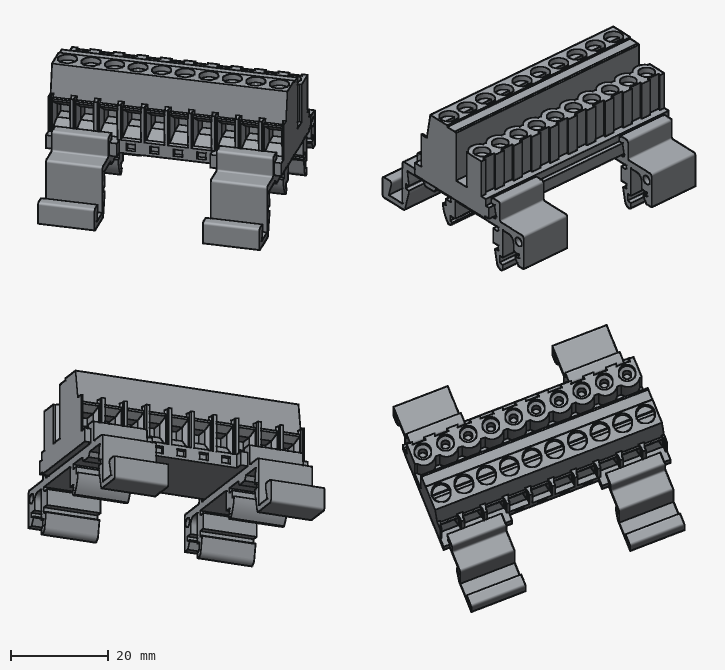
import cadquery as cq
POLES = 10
PITCH = 5.0
LENGTH = POLES * PITCH
DEPTH = 43.7
HEIGHT = 28.8

CLIP_WIDTH = 12.0
CLIP_CENTRES = (1.5 * PITCH, LENGTH - 1.5 * PITCH)
CLIP_RADIUS = 0.55
TAB_RADIUS = 0.4
BASE_TOP = 11.75
BASE_BOTTOM = 10.05
PIN_HOLE_DIAMETER = 2.0
PIN_HOLE_Y = 42.15
PIN_HOLE_Z = 9.6

FOOT_FRONT = 11.75
FOOT_TOP = 14.7
FOOT_LENGTH = 15.1
BODY_FRONT = 13.65
DECK_Z = 16.6
POST_TOP = 25.15
POST_FRONT = 27.75
POST_BACK = 32.35
SHOULDER_Y = 15.4
SHOULDER_Z = 22.6
TOWER_FRONT = 16.5

SOCKET_Y = 29.7
SOCKET_DIAMETER = 3.5
SOCKET_DEPTH = 1.4
SOCKET_CONE_DEPTH = 0.4
SOCKET_PIN_DIAMETER = 1.8
SOCKET_PIN_DEPTH = 5.0
POST_BULGE_REACH = 1.05
POST_BULGE_WIDTH = 4.1

GROOVE_OPENING = 2.6
GROOVE_FLOOR = 3.0
GROOVE_DEPTH = 0.6

SCREW_Y = 19.45
SCREW_BORE_DIAMETER = 4.0
SCREW_RECESS = 1.2
SCREW_HEAD_DIAMETER = 3.8
SLOT_WIDTH = 0.8
SLOT_DEPTH = 0.9

DIVIDER_TIP = 0.7
DIVIDER_ROOT = 1.3
DIVIDER_FLARE_Y = 14.5
LINTEL_Y = 14.85
ENTRY_TOP = 21.8
LEDGE_DROP = 0.2
FUNNEL_WIDTH = 4.0
FUNNEL_TOP = 21.15
FUNNEL_BACK = 16.35
OPENING_WIDTH = 2.7
OPENING_BOTTOM = 16.85
OPENING_TOP = 19.85
OPENING_DEPTH = 3.0

FOOT_GROOVE_WIDTH = 0.15
FOOT_GROOVE_DEPTH = 1.05

WINDOW_POLES = range(3, 7)
WINDOW_WIDTH = 1.9
WINDOW_BOTTOM = 12.45
WINDOW_HEIGHT = 1.5
WINDOW_DEPTH = 1.0


def box(x, y, z):
    """Box spanning the three (low, high) pairs."""
    size = [high - low for low, high in (x, y, z)]
    return cq.Workplane("XY").box(*size, centered=False).translate((x[0], y[0], z[0]))


def along_x(outline, start, length):
    """Extrude a closed YZ outline along +X."""
    return outline.close().extrude(length).translate((start, 0, 0))


def pole_centres(poles=range(POLES)):
    return [(pole + 0.5) * PITCH for pole in poles]


def clip(centre):
    """Rail clip: a bent strip with two holding tabs, four rail hooks and a front lever."""
    outline = (
        cq.Workplane("YZ")
        .moveTo(0, 0)
        .lineTo(0, 5)
        .lineTo(2.75, 5)
        .lineTo(2.75, 4.3)
        .lineTo(1.95, 1.35)
        .lineTo(6.2, 1.35)
        .lineTo(6.2, BASE_TOP)
        .lineTo(10.8, BASE_TOP)
        .lineTo(10.8, 16.2)
        .lineTo(BODY_FRONT, 16.2)
        .lineTo(BODY_FRONT, FOOT_TOP)
        .lineTo(FOOT_FRONT, FOOT_TOP)
        .lineTo(FOOT_FRONT, BASE_TOP)
        .lineTo(34.95, BASE_TOP)
        .lineTo(35.2, 12.3)
        .lineTo(34.7, 14.95)
        .lineTo(33.7, 14.95)
        .lineTo(33.7, 16.45)
        .lineTo(36.4, 16.45)
        .lineTo(36.4, BASE_TOP)
        .lineTo(DEPTH, BASE_TOP)
        .lineTo(DEPTH, 3.65)
        .lineTo(42.1, 3.65)
        .lineTo(41.15, 5.15)
        .lineTo(41.15, 5.45)
        .lineTo(42.25, 5.6)
        .lineTo(42.25, 6.55)
        .lineTo(40.6, 6.55)
        .lineTo(40.6, 8.55)
        .radiusArc((39.1, BASE_BOTTOM), -1.5)
        .lineTo(37.2, BASE_BOTTOM)
        .lineTo(37.2, 3.3)
        .lineTo(36.35, 3.3)
        .lineTo(36.35, 1.75)
        .lineTo(37.2, 1.5)
        .lineTo(37.2, 0.2)
        .lineTo(36.9, 0)
        .threePointArc((35.9, 0.35), (35.45, 1.1))
        .lineTo(34.8, 4.2)
        .lineTo(35.0, 4.4)
        .lineTo(35.85, 4.4)
        .lineTo(35.85, 5.6)
        .lineTo(34.25, 5.6)
        .lineTo(34.25, 9.05)
        .lineTo(35.6, 9.05)
        .lineTo(35.85, 9.3)
        .lineTo(35.85, BASE_BOTTOM)
        .lineTo(22.75, BASE_BOTTOM)
        .lineTo(22.55, 9.85)
        .lineTo(22.55, 5.6)
        .lineTo(21.0, 5.6)
        .lineTo(21.0, 4.45)
        .lineTo(21.6, 4.2)
        .lineTo(21.05, 3.3)
        .lineTo(20.4, 3.3)
        .threePointArc((19.2, 5.25), (18.65, 7.5))
        .lineTo(19.6, 7.5)
        .lineTo(19.6, 9.05)
        .lineTo(21.15, 9.05)
        .lineTo(21.15, BASE_BOTTOM)
        .lineTo(16.65, BASE_BOTTOM)
        .lineTo(16.0, 9.05)
        .lineTo(13.3, 9.05)
        .lineTo(12.65, BASE_BOTTOM)
        .lineTo(7.7, BASE_BOTTOM)
        .lineTo(8.1, 7.5)
        .lineTo(8.1, 6.55)
        .lineTo(7.15, 6.55)
        .lineTo(7.15, 5.6)
        .lineTo(8.1, 5.4)
        .lineTo(8.1, 4.65)
        .lineTo(6.95, 0.25)
        .lineTo(6.7, 0)
    )
    start = centre - CLIP_WIDTH / 2
    body = along_x(outline, start, CLIP_WIDTH)
    outer_corners = ((0, 0), (0, 5), (2.75, 5), (6.2, BASE_TOP), (10.8, 16.2),
                     (33.7, 16.45), (36.4, 16.45), (DEPTH, BASE_TOP))
    tab_corners = ((10.8, BASE_TOP), (BODY_FRONT, 16.2), (36.4, BASE_TOP))
    for corners, radius in ((outer_corners, CLIP_RADIUS), (tab_corners, TAB_RADIUS)):
        for y, z in corners:
            body = body.edges(cq.NearestToPointSelector((centre, y, z))).fillet(radius)
    pin_hole = (
        cq.Workplane("YZ", origin=(start, 0, 0))
        .center(PIN_HOLE_Y, PIN_HOLE_Z)
        .circle(PIN_HOLE_DIAMETER / 2)
        .extrude(CLIP_WIDTH)
    )
    return body.cut(pin_hole)


def block_body():
    """Terminal block: stepped section along all poles, posts bulging around each socket."""
    outline = (
        cq.Workplane("YZ")
        .moveTo(FOOT_FRONT, BASE_TOP)
        .lineTo(FOOT_FRONT, FOOT_TOP)
        .lineTo(BODY_FRONT, FOOT_TOP)
        .lineTo(BODY_FRONT, SHOULDER_Z)
        .lineTo(SHOULDER_Y, SHOULDER_Z)
        .lineTo(TOWER_FRONT, HEIGHT)
        .lineTo(21.8, HEIGHT)
        .lineTo(21.8, 28.4)
        .lineTo(24.1, 28.4)
        .lineTo(24.5, 28.25)
        .lineTo(24.5, DECK_Z)
        .lineTo(POST_FRONT, DECK_Z)
        .lineTo(POST_FRONT, POST_TOP)
        .lineTo(POST_BACK, POST_TOP)
        .lineTo(POST_BACK, DECK_Z)
        .lineTo(33.7, DECK_Z)
        .lineTo(33.7, 14.95)
        .lineTo(34.7, 14.95)
        .lineTo(34.7, 12.2)
        .lineTo(33.45, 12.2)
        .lineTo(33.45, BASE_TOP)
    )
    body = along_x(outline, 0, LENGTH)
    half_width = POST_BULGE_WIDTH / 2
    for x in pole_centres():
        bulge = (
            cq.Workplane("XY", origin=(0, 0, DECK_Z))
            .moveTo(x - half_width, POST_FRONT)
            .threePointArc((x, POST_FRONT - POST_BULGE_REACH), (x + half_width, POST_FRONT))
            .close()
            .extrude(POST_TOP - DECK_Z)
        )
        body = body.union(bulge)
    foot_gap = box((FOOT_LENGTH, LENGTH - FOOT_LENGTH), (FOOT_FRONT, BODY_FRONT), (BASE_TOP, FOOT_TOP))
    clip_side = CLIP_CENTRES[0] - CLIP_WIDTH / 2
    foot_groove = box((clip_side - FOOT_GROOVE_WIDTH, clip_side),
                      (FOOT_FRONT, FOOT_FRONT + FOOT_GROOVE_DEPTH),
                      (BASE_TOP, FOOT_TOP))
    return body.cut(foot_gap).cut(foot_groove)


def socket(x):
    """Stepped plug socket: wide bore, conical lead-in and narrow pin bore."""
    cone_bottom = SOCKET_DEPTH + SOCKET_CONE_DEPTH
    radius = SOCKET_DIAMETER / 2
    pin_radius = SOCKET_PIN_DIAMETER / 2
    return (
        cq.Workplane("XZ")
        .polyline([(0, 0), (radius, 0), (radius, -SOCKET_DEPTH), (pin_radius, -cone_bottom),
                   (pin_radius, -SOCKET_PIN_DEPTH), (0, -SOCKET_PIN_DEPTH)])
        .close()
        .revolve(360, (0, 0), (0, 1))
        .translate((x, SOCKET_Y, POST_TOP))
    )


def coding_groove(x):
    floor_y = POST_BACK - GROOVE_DEPTH
    return (
        cq.Workplane("XY", origin=(0, 0, DECK_Z))
        .polyline([(x - GROOVE_OPENING / 2, POST_BACK), (x + GROOVE_OPENING / 2, POST_BACK),
                   (x + GROOVE_FLOOR / 2, floor_y), (x - GROOVE_FLOOR / 2, floor_y)])
        .close()
        .extrude(POST_TOP - DECK_Z)
    )


def screw_recess(x):
    """Round bore around a slotted screw head; the head stands clear of the bore wall."""
    head_z = HEIGHT - SCREW_RECESS
    bore = (
        cq.Workplane("XY", origin=(x, SCREW_Y, head_z - SLOT_DEPTH))
        .circle(SCREW_BORE_DIAMETER / 2)
        .extrude(SCREW_RECESS + SLOT_DEPTH)
    )
    head = (
        cq.Workplane("XY", origin=(x, SCREW_Y, head_z - SLOT_DEPTH))
        .circle(SCREW_HEAD_DIAMETER / 2)
        .extrude(SLOT_DEPTH)
    )
    slot = box((x - SCREW_HEAD_DIAMETER / 2, x + SCREW_HEAD_DIAMETER / 2),
               (SCREW_Y - SLOT_WIDTH / 2, SCREW_Y + SLOT_WIDTH / 2),
               (head_z - SLOT_DEPTH, head_z))
    return bore.cut(head.cut(slot))


def wire_entry(x):
    """Bay between two dividers, narrowing through a funnel into the wire opening."""
    tower_slope = (TOWER_FRONT - SHOULDER_Y) / (HEIGHT - SHOULDER_Z)
    ledge_back = SHOULDER_Y - tower_slope * (SHOULDER_Z - ENTRY_TOP)
    bay_outline = (
        cq.Workplane("YZ")
        .moveTo(BODY_FRONT, FOOT_TOP)
        .lineTo(LINTEL_Y, FOOT_TOP)
        .lineTo(LINTEL_Y, ENTRY_TOP - LEDGE_DROP)
        .lineTo(ledge_back, ENTRY_TOP)
        .lineTo(SHOULDER_Y, SHOULDER_Z)
        .lineTo(BODY_FRONT, SHOULDER_Z)
    )
    front_half = (PITCH - DIVIDER_TIP) / 2
    back_half = (PITCH - DIVIDER_ROOT) / 2
    bay_plan = (
        cq.Workplane("XY", origin=(x, 0, FOOT_TOP))
        .polyline([(-front_half, BODY_FRONT), (front_half, BODY_FRONT), (front_half, DIVIDER_FLARE_Y),
                   (back_half, SHOULDER_Y), (-back_half, SHOULDER_Y), (-front_half, DIVIDER_FLARE_Y)])
        .close()
        .extrude(SHOULDER_Z - FOOT_TOP)
    )
    bay = along_x(bay_outline, x - PITCH / 2, PITCH).intersect(bay_plan)
    opening_z = (OPENING_TOP + OPENING_BOTTOM) / 2
    funnel = (
        cq.Workplane("XZ", origin=(x, FUNNEL_BACK, opening_z))
        .rect(OPENING_WIDTH, OPENING_TOP - OPENING_BOTTOM)
        .workplane(offset=FUNNEL_BACK - LINTEL_Y)
        .center(0, (FUNNEL_TOP + FOOT_TOP) / 2 - opening_z)
        .rect(FUNNEL_WIDTH, FUNNEL_TOP - FOOT_TOP)
        .loft(ruled=True)
    )
    opening = box((x - OPENING_WIDTH / 2, x + OPENING_WIDTH / 2),
                  (FUNNEL_BACK, FUNNEL_BACK + OPENING_DEPTH),
                  (OPENING_BOTTOM, OPENING_TOP))
    return bay.union(funnel).union(opening)


def test_window(x):
    return box((x - WINDOW_WIDTH / 2, x + WINDOW_WIDTH / 2),
               (BODY_FRONT, BODY_FRONT + WINDOW_DEPTH),
               (WINDOW_BOTTOM, WINDOW_BOTTOM + WINDOW_HEIGHT))


block = block_body()
for pole_x in pole_centres():
    for feature in (socket, coding_groove, screw_recess, wire_entry):
        block = block.cut(feature(pole_x))
for pole_x in pole_centres(WINDOW_POLES):
    block = block.cut(test_window(pole_x))

result = block
for clip_x in CLIP_CENTRES:
    result = result.union(clip(clip_x))